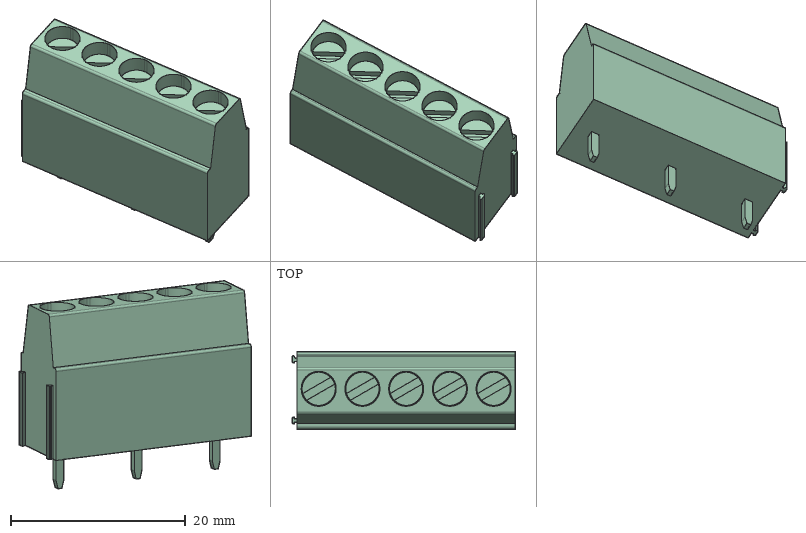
import cadquery as cq
import math

pole_count = 5
pole_pitch = 5.0
housing_length = pole_count * pole_pitch
housing_depth = 8.9
housing_height = 16.8
shoulder_height = 10.8
front_shoulder_width = 0.7
back_shoulder_width = 0.5
front_top_inset = 1.75
back_top_inset = 1.85
edge_radius = 0.3

shaft_diameter = 4.0
shaft_flat_width = 0.35
screw_diameter = 3.8
screw_y = 4.65
shaft_depth = 1.75
screw_gap_depth = 1.0
slot_width = 0.9
slot_depth = 0.8
slot_angle = 30.0

pin_spacing = 2 * pole_pitch
pin_width = 1.0
pin_thickness = 0.8
pin_y = 4.35
pin_length = 4.5
pin_tip_width = 0.5
pin_tip_length = 1.0

rail_height = 8.65
rail_projection = 0.55
flange_thickness = 0.28
flange_bevel_depth = 0.1

front_rail_y = 1.03
front_flange_width = 0.78
front_bevel_width = 0.1
front_neck_width = 0.45

back_rail_y = 8.03
back_flange_width = 0.88
back_bevel_width = 0.17
back_neck_min_y = 7.75
back_neck_max_y = 8.14
back_neck_root_max_y = 8.22
back_neck_waist_x = -0.16
back_flange_crest_x = -0.38


def make_housing():
    """Block with a tapered upper part between two rounded shoulders."""
    back_shoulder_y = housing_depth - back_shoulder_width
    back_top_y = housing_depth - back_top_inset
    profile = [
        (0, 0),
        (housing_depth, 0),
        (housing_depth, shoulder_height),
        (back_shoulder_y, shoulder_height),
        (back_top_y, housing_height),
        (front_top_inset, housing_height),
        (front_shoulder_width, shoulder_height),
        (0, shoulder_height),
    ]
    block = cq.Workplane("YZ").polyline(profile).close().extrude(housing_length)
    top_edges = block.faces(">Z").edges("|X")
    front_edge = block.faces("<Y").edges("|X and >Z")
    back_edge = block.faces(">Y").edges("|X and >Z")
    return top_edges.add(front_edge).add(back_edge).fillet(edge_radius)


def make_screw_cutter(screw_x):
    """Shaft with a narrow +Y flat, a gap around the screw head, and its driver slot."""
    screw_top = housing_height - shaft_depth
    center = (screw_x, screw_y)
    flat_half_width = shaft_flat_width / 2
    flat_offset = math.sqrt((shaft_diameter / 2) ** 2 - flat_half_width**2)
    shaft = (
        cq.Workplane("XY", origin=(*center, screw_top - screw_gap_depth))
        .moveTo(-flat_half_width, flat_offset)
        .threePointArc((0, -shaft_diameter / 2), (flat_half_width, flat_offset))
        .close()
        .extrude(shaft_depth + screw_gap_depth)
    )
    head = (
        cq.Workplane("XY", origin=(*center, screw_top - screw_gap_depth))
        .circle(screw_diameter / 2)
        .extrude(screw_gap_depth)
    )
    slot = (
        cq.Workplane("XY")
        .box(shaft_diameter, slot_width, slot_depth, centered=(True, True, False))
        .rotate((0, 0, 0), (0, 0, 1), slot_angle)
        .translate((*center, screw_top - slot_depth))
        .intersect(shaft)
    )
    return shaft.cut(head).union(slot)


def make_pin(pin_x):
    """Flat pin below the housing, tapering in width at its tip."""
    outline = [
        (-pin_width / 2, 0),
        (-pin_width / 2, pin_tip_length - pin_length),
        (-pin_tip_width / 2, -pin_length),
        (pin_tip_width / 2, -pin_length),
        (pin_width / 2, pin_tip_length - pin_length),
        (pin_width / 2, 0),
    ]
    return (
        cq.Workplane("XZ", origin=(pin_x, pin_y, 0))
        .polyline(outline)
        .close()
        .extrude(pin_thickness / 2, both=True)
    )


def extrude_rail(outline):
    """Raise a rail outline from the bottom of the housing."""
    return cq.Workplane("XY").polyline(outline).close().extrude(rail_height)


def flange_outer_points(rail_y, flange_width, bevel_width):
    """Beveled outer end of a rail flange, from its +Y side to its -Y side."""
    outer_x = -rail_projection
    half_width = flange_width / 2
    return [
        (outer_x + flange_bevel_depth, rail_y + half_width),
        (outer_x, rail_y + half_width - bevel_width),
        (outer_x, rail_y - half_width + bevel_width),
        (outer_x + flange_bevel_depth, rail_y - half_width),
    ]


def make_front_rail():
    """Symmetric T-shaped rail."""
    inner_x = flange_thickness - rail_projection
    min_y = front_rail_y - front_flange_width / 2
    max_y = front_rail_y + front_flange_width / 2
    neck_min_y = front_rail_y - front_neck_width / 2
    neck_max_y = front_rail_y + front_neck_width / 2
    outline = flange_outer_points(front_rail_y, front_flange_width, front_bevel_width) + [
        (inner_x, min_y),
        (inner_x, neck_min_y),
        (0, neck_min_y),
        (0, neck_max_y),
        (inner_x, neck_max_y),
        (inner_x, max_y),
    ]
    return extrude_rail(outline)


def make_back_rail():
    """Rail with a square step on its -Y side and a sloped waist on its +Y side."""
    inner_x = flange_thickness - rail_projection
    min_y = back_rail_y - back_flange_width / 2
    max_y = back_rail_y + back_flange_width / 2
    outline = flange_outer_points(back_rail_y, back_flange_width, back_bevel_width) + [
        (inner_x, min_y),
        (inner_x, back_neck_min_y),
        (0, back_neck_min_y),
        (0, back_neck_root_max_y),
        (back_neck_waist_x, back_neck_max_y),
        (back_flange_crest_x, max_y),
    ]
    return extrude_rail(outline)


result = make_housing()
for pole in range(pole_count):
    result = result.cut(make_screw_cutter((pole + 0.5) * pole_pitch))

pin_count = (pole_count + 1) // 2
for pin in range(pin_count):
    result = result.union(make_pin(pole_pitch / 2 + pin * pin_spacing))

result = result.union(make_front_rail())
result = result.union(make_back_rail())